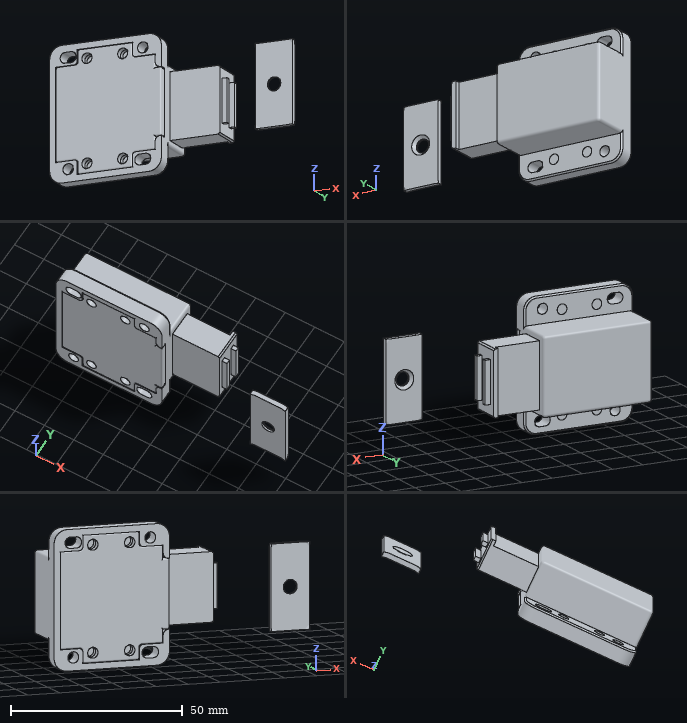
import cadquery as cq


FLANGE_LENGTH = 36.0
FLANGE_HEIGHT = 42.0
FLANGE_THICKNESS = 5.0
FLANGE_CORNER_RADIUS = 4.0
FLANGE_CHAMFER = 0.5
CASE_HEIGHT = 25.0
CASE_BACK = 17.0
CASE_FILLET = 1.0

MOUNT_INSET_X = 6.0
MOUNT_Z = 17.0
MOUNT_DIAMETER = 3.3
SLOT_LENGTH = 5.1

COVER_THICKNESS = 2.0
COVER_FILLET = 0.5
COVER_LEFT = 2.0
COVER_RIGHT = 34.0
COVER_HALF_HEIGHT = 14.5
TAB_CENTER_X = 17.8
TAB_WIDTH = 17.5
TAB_HALF_HEIGHT = 19.0
TAB_SIDE_GAP = 0.12
TAB_ROOT_RADIUS = 1.0
TONGUE_ROOT_RADIUS = 1.6

SCREW_DIAMETER = 3.2
SCREW_SPACING_X = 11.5
SCREW_SPACING_Z = 32.0
SCREW_SINK = 3.5

BOLT_HEIGHT = 21.0
BOLT_END = 52.0
BOLT_FRONT = 6.0
BOLT_BACK = 14.4
BOLT_CHAMFER = 0.5
LIP_LENGTH = 1.5
LIP_BACK = 16.0
RIB_LENGTH = 1.7
RIB_HEIGHT = 13.6
RIB_THICKNESS = 1.4
RIB_FRONTS = (7.4, 12.5)

STRIKE_CENTER_X = 73.0
STRIKE_WIDTH = 12.0
STRIKE_HEIGHT = 26.0
STRIKE_THICKNESS = 1.65
STRIKE_HOLE_DIAMETER = 4.2
STRIKE_SINK_DIAMETER = 6.2
STRIKE_SINK_ANGLE = 90.0
STRIKE_CORNER_LEG = 1.4
STRIKE_CORNER_BEND = 0.3

SIDES = (-1, 1)

TOLERANCE = 0.01


def box(x_range, y_range, z_range):
    """Box between pairs of X, Y and Z limits."""
    (x0, x1), (y0, y1), (z0, z1) = x_range, y_range, z_range
    return cq.Workplane("XY").box(x1 - x0, y1 - y0, z1 - z0, centered=False).translate((x0, y0, z0))


def facing_back(depth):
    """Sketch plane at Y = depth whose axes are world X and Z; it extrudes toward -Y."""
    return cq.Workplane("XZ", origin=(0, depth, 0))


def cover_prism(tab_width, tongue_root_radius=None):
    """Cross-shaped plate with a tongue reaching the bolt side of the flange."""
    depths = (0, COVER_THICKNESS)
    tab_left = TAB_CENTER_X - tab_width / 2
    tab_right = TAB_CENTER_X + tab_width / 2
    body = box((COVER_LEFT, COVER_RIGHT), depths, (-COVER_HALF_HEIGHT, COVER_HALF_HEIGHT))
    tabs = box((tab_left, tab_right), depths, (-TAB_HALF_HEIGHT, TAB_HALF_HEIGHT))
    tongue = box((COVER_RIGHT, FLANGE_LENGTH), depths, (-BOLT_HEIGHT / 2, BOLT_HEIGHT / 2))
    prism = body.union(tabs).union(tongue)

    def is_tab_root(edge):
        x = edge.Center().x
        at_tab_side = min(abs(x - tab_left), abs(x - tab_right)) < TOLERANCE
        return at_tab_side and abs(edge.Center().z) < TAB_HALF_HEIGHT - TOLERANCE

    def is_tongue_root(edge):
        at_body_end = abs(edge.Center().x - COVER_RIGHT) < TOLERANCE
        return at_body_end and abs(edge.Center().z) < COVER_HALF_HEIGHT - TOLERANCE

    prism = prism.edges("|Y").filter(is_tab_root).fillet(TAB_ROOT_RADIUS)
    if tongue_root_radius:
        prism = prism.edges("|Y").filter(is_tongue_root).fillet(tongue_root_radius)
    return prism


def screw_cylinders(front, back):
    """Four cylinders on the screw centres between two depths."""
    return (
        facing_back(back)
        .center(TAB_CENTER_X, 0)
        .rarray(SCREW_SPACING_X, SCREW_SPACING_Z, 2, 2)
        .circle(SCREW_DIAMETER / 2)
        .extrude(back - front)
    )


def make_housing():
    half_height = FLANGE_HEIGHT / 2
    flange = (
        box((0, FLANGE_LENGTH), (0, FLANGE_THICKNESS), (-half_height, half_height))
        .edges("|Y").fillet(FLANGE_CORNER_RADIUS)
        .faces(">Y").chamfer(FLANGE_CHAMFER)
    )
    case = (
        box((0, FLANGE_LENGTH), (0, CASE_BACK), (-CASE_HEIGHT / 2, CASE_HEIGHT / 2))
        .edges("|Y or >Y").fillet(CASE_FILLET)
    )
    left = MOUNT_INSET_X
    right = FLANGE_LENGTH - MOUNT_INSET_X
    round_holes = (
        facing_back(FLANGE_THICKNESS)
        .pushPoints([(left, -MOUNT_Z), (right, MOUNT_Z)])
        .circle(MOUNT_DIAMETER / 2)
        .extrude(FLANGE_THICKNESS)
    )
    slots = (
        facing_back(FLANGE_THICKNESS)
        .pushPoints([(left, MOUNT_Z), (right, -MOUNT_Z)])
        .slot2D(SLOT_LENGTH, MOUNT_DIAMETER)
        .extrude(FLANGE_THICKNESS)
    )
    cover_recess = cover_prism(TAB_WIDTH + 2 * TAB_SIDE_GAP, TONGUE_ROOT_RADIUS)
    return (
        flange.union(case)
        .cut(round_holes)
        .cut(slots)
        .cut(cover_recess)
        .cut(screw_cylinders(0, FLANGE_THICKNESS))
    )


def is_outer_cover_corner(edge):
    """True for the corners that end the body, the tabs or the tongue."""
    x = edge.Center().x
    z = abs(edge.Center().z)
    ends_tab = z > TAB_HALF_HEIGHT - TOLERANCE
    ends_body = z > COVER_HALF_HEIGHT - TOLERANCE and (
        x < COVER_LEFT + TOLERANCE or abs(x - COVER_RIGHT) < TOLERANCE
    )
    ends_tongue = x > FLANGE_LENGTH - TOLERANCE
    return ends_tab or ends_body or ends_tongue


def make_cover():
    plate = cover_prism(TAB_WIDTH)
    outer_corners = plate.edges("|Y").filter(is_outer_cover_corner)
    plate = outer_corners.fillet(COVER_FILLET).faces("<Y").edges().fillet(COVER_FILLET)
    return plate.cut(screw_cylinders(0, COVER_THICKNESS))


def make_bolt():
    heights = (-BOLT_HEIGHT / 2, BOLT_HEIGHT / 2)
    shank = box((FLANGE_LENGTH, BOLT_END), (BOLT_FRONT, BOLT_BACK), heights)
    lip = box((BOLT_END - LIP_LENGTH, BOLT_END), (BOLT_FRONT, LIP_BACK), heights)
    bolt = shank.union(lip).edges("|Y and >X").chamfer(BOLT_CHAMFER)
    for front in RIB_FRONTS:
        rib = box(
            (BOLT_END, BOLT_END + RIB_LENGTH),
            (front, front + RIB_THICKNESS),
            (-RIB_HEIGHT / 2, RIB_HEIGHT / 2),
        )
        bolt = bolt.union(rib)
    return bolt


def corner_wedge(side_x, side_z, depth):
    """Tetrahedron below Y = depth, growing from a diagonal line to the plate corner."""
    corner_x = STRIKE_CENTER_X + side_x * STRIKE_WIDTH / 2
    corner_z = side_z * STRIKE_HEIGHT / 2
    along_x = cq.Vector(corner_x - side_x * STRIKE_CORNER_LEG, depth, corner_z)
    along_z = cq.Vector(corner_x, depth, corner_z - side_z * STRIKE_CORNER_LEG)
    corner = cq.Vector(corner_x, depth, corner_z)
    tip = cq.Vector(corner_x, depth - STRIKE_CORNER_BEND, corner_z)
    triangles = [
        (along_x, along_z, corner),
        (along_x, along_z, tip),
        (along_x, corner, tip),
        (along_z, corner, tip),
    ]
    faces = [cq.Face.makeFromWires(cq.Wire.makePolygon(points, close=True)) for points in triangles]
    return cq.Workplane(cq.Solid.makeSolid(cq.Shell.makeShell(faces)))


def make_strike_plate():
    """Flat plate whose four corners are bent toward -Y."""
    plate = (
        facing_back(0)
        .center(STRIKE_CENTER_X, 0)
        .rect(STRIKE_WIDTH, STRIKE_HEIGHT)
        .extrude(STRIKE_THICKNESS)
        .faces(">Y").workplane()
        .cskHole(STRIKE_HOLE_DIAMETER, STRIKE_SINK_DIAMETER, STRIKE_SINK_ANGLE)
    )
    for side_x in SIDES:
        for side_z in SIDES:
            plate = plate.cut(corner_wedge(side_x, side_z, 0))
            plate = plate.union(corner_wedge(side_x, side_z, -STRIKE_THICKNESS))
    return plate


housing = make_housing()
cover = make_cover()
screws = screw_cylinders(SCREW_SINK, FLANGE_THICKNESS)
bolt = make_bolt()
strike_plate = make_strike_plate()

result = cq.Compound.makeCompound([
    housing.solids().val(),
    cover.solids().val(),
    *screws.solids().vals(),
    bolt.solids().val(),
    strike_plate.solids().val(),
])